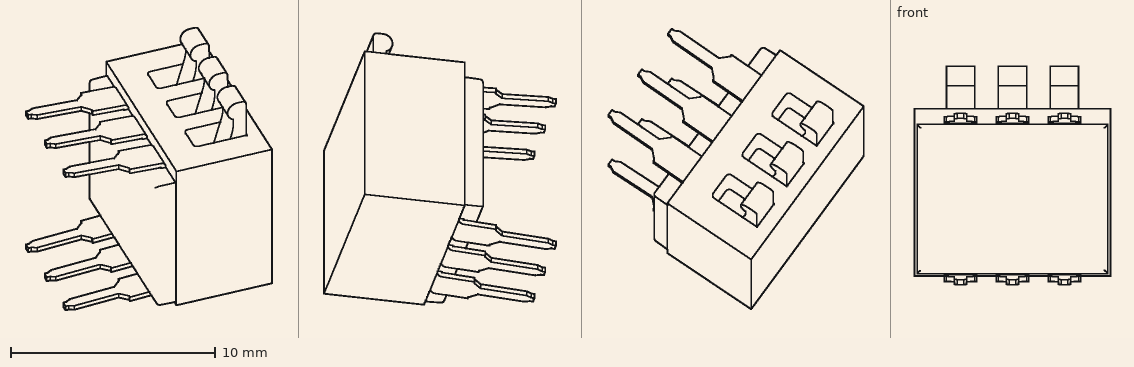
import cadquery as cq
import math


BODY_WIDTH = 9.6
BODY_DEPTH = 5.01
BODY_TOP = 4.42
BODY_BOTTOM = -3.77

BASE_WIDTH = 9.34
BASE_HEIGHT = 7.3
BASE_THICKNESS = 0.99
BASE_LIP = 0.25
BASE_DRAFT = 1.5
BASE_FILLET = 0.19

POSITIONS = 3
PITCH = 2.54

SLOT_WIDTH = 1.46
SLOT_LENGTH = 2.75
SLOT_DEPTH = 2.47
SLOT_BACK = BODY_DEPTH - 0.72
SLOT_CORNER = 0.2
LEVER_WIDTH = 1.4
LEVER_CLEARANCE = (SLOT_WIDTH - LEVER_WIDTH) / 2
LEVER_BACK = SLOT_BACK - LEVER_CLEARANCE
LEVER_TOP = 6.5
LEVER_BACK_FILLET = 0.22
LEVER_NECK = 0.68
LEVER_FOOT_FILLET = 0.28
KNOB_RADIUS = 0.5
KNOB_CENTER = 0.48
NECK_STRAIGHT_END = LEVER_TOP - 1.19
NECK_CURVE_END = LEVER_TOP - 1.85
LEVER_SLOPE = 16.0

LEAD_LENGTH = 5.01
LEAD_THICKNESS = 0.25
LEAD_TIP_LEVEL = 4.2
LEAD_SPLAY = 3.0
LEAD_EMBED = 0.5
SHOULDER_HALF = 0.8
SHOULDER_TAPER_HALF = 0.69
PIN_HALF = 0.3
TIP_HALF = 0.165
SHOULDER_END = 1.88
PIN_START = 2.28
PIN_END = 4.6
TIP_START = 4.85


def make_housing():
    return (
        cq.Workplane("XY", origin=(0, BODY_DEPTH / 2, BODY_BOTTOM))
        .rect(BODY_WIDTH, BODY_DEPTH)
        .extrude(BODY_TOP - BODY_BOTTOM)
    )


def make_base():
    """Plate with a straight lip, drafted sides and a rounded front rim."""
    lip = cq.Workplane("XZ").rect(BASE_WIDTH, BASE_HEIGHT).extrude(BASE_LIP)
    plate = (
        cq.Workplane("XZ", origin=(0, -BASE_LIP, 0))
        .rect(BASE_WIDTH, BASE_HEIGHT)
        .extrude(BASE_THICKNESS - BASE_LIP, taper=BASE_DRAFT)
        .faces("<Y")
        .edges()
        .fillet(BASE_FILLET)
    )
    return lip.union(plate)


def make_slot():
    return (
        cq.Workplane("XY", origin=(0, SLOT_BACK - SLOT_LENGTH / 2, BODY_TOP))
        .rect(SLOT_WIDTH, SLOT_LENGTH)
        .extrude(-SLOT_DEPTH)
        .edges("|Z and <Y")
        .fillet(SLOT_CORNER)
    )


def make_lever():
    """Lever with a round knob, a narrow neck and a foot that widens down to the slot floor."""
    floor = BODY_TOP - SLOT_DEPTH
    slope = math.radians(LEVER_SLOPE)
    knob_y = LEVER_BACK - KNOB_CENTER
    knob_z = LEVER_TOP - KNOB_RADIUS
    neck_y = LEVER_BACK - LEVER_NECK
    knob_end_z = knob_z - math.sqrt(KNOB_RADIUS**2 - (LEVER_NECK - KNOB_CENTER) ** 2)

    curve_radius = (NECK_STRAIGHT_END - NECK_CURVE_END) / math.sin(slope)
    curve_y = neck_y - curve_radius * (1 - math.cos(slope))
    mid_y = neck_y - curve_radius * (1 - math.cos(slope / 2))
    mid_z = NECK_STRAIGHT_END - curve_radius * math.sin(slope / 2)

    foot_y = curve_y - (NECK_CURVE_END - floor) * math.tan(slope)
    tangent = LEVER_FOOT_FILLET * math.tan((math.pi / 2 - slope) / 2)
    slope_end = (foot_y + tangent * math.sin(slope), floor + tangent * math.cos(slope))
    floor_end = (foot_y - tangent, floor)

    diagonal = LEVER_BACK_FILLET * (1 - math.sqrt(0.5))
    profile = (
        cq.Workplane("YZ", origin=(-LEVER_WIDTH / 2, 0, 0))
        .moveTo(LEVER_BACK, floor)
        .lineTo(LEVER_BACK, LEVER_TOP - LEVER_BACK_FILLET)
        .threePointArc(
            (LEVER_BACK - diagonal, LEVER_TOP - diagonal),
            (LEVER_BACK - LEVER_BACK_FILLET, LEVER_TOP),
        )
        .lineTo(knob_y, LEVER_TOP)
        .threePointArc((knob_y - KNOB_RADIUS, knob_z), (neck_y, knob_end_z))
        .lineTo(neck_y, NECK_STRAIGHT_END)
        .threePointArc((mid_y, mid_z), (curve_y, NECK_CURVE_END))
        .lineTo(*slope_end)
        .tangentArcPoint(floor_end, relative=False)
        .close()
    )
    return profile.extrude(LEVER_WIDTH)


def make_lead():
    """Upper-row lead: bent strip trimmed to a shouldered pin outline."""
    splay = math.tan(math.radians(LEAD_SPLAY))
    bend_level = LEAD_TIP_LEVEL - (LEAD_LENGTH - LEAD_THICKNESS) * splay
    bend_diagonal = LEAD_THICKNESS * (1 - math.sqrt(0.5))
    root = BASE_HEIGHT / 2 - LEAD_EMBED
    strip = (
        cq.Workplane("YZ", origin=(-SHOULDER_HALF, 0, 0))
        .moveTo(0, root)
        .lineTo(0, bend_level - LEAD_THICKNESS)
        .threePointArc(
            (-bend_diagonal, bend_level - bend_diagonal),
            (-LEAD_THICKNESS, bend_level),
        )
        .lineTo(-LEAD_LENGTH, LEAD_TIP_LEVEL)
        .lineTo(-LEAD_LENGTH, LEAD_TIP_LEVEL - LEAD_THICKNESS)
        .lineTo(-LEAD_THICKNESS, bend_level - LEAD_THICKNESS)
        .lineTo(-LEAD_THICKNESS, root)
        .close()
        .extrude(2 * SHOULDER_HALF)
    )
    right_edge = [
        (SHOULDER_HALF, 0),
        (SHOULDER_HALF, -SHOULDER_END),
        (SHOULDER_TAPER_HALF, -SHOULDER_END),
        (PIN_HALF, -PIN_START),
        (PIN_HALF, -PIN_END),
        (TIP_HALF, -TIP_START),
        (TIP_HALF, -LEAD_LENGTH),
    ]
    left_edge = [(-x, y) for x, y in reversed(right_edge)]
    outline = cq.Workplane("XY").polyline(right_edge + left_edge).close().extrude(LEAD_TIP_LEVEL)
    return strip.intersect(outline)


slot = make_slot()
lever = make_lever()
upper_lead = make_lead()
lower_lead = upper_lead.mirror("XY")

result = make_housing().union(make_base())
for index in range(POSITIONS):
    offset = ((index - (POSITIONS - 1) / 2) * PITCH, 0, 0)
    result = result.cut(slot.translate(offset))
    for piece in (lever, upper_lead, lower_lead):
        result = result.union(piece.translate(offset))